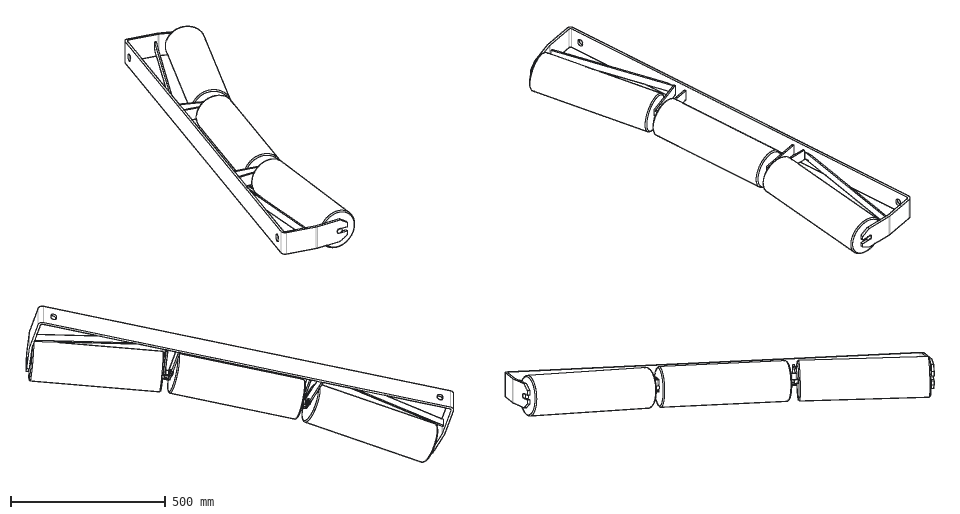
import cadquery as cq
import math

frame_length = 1400.0
bar_width = 80.0
bar_thickness = 8.0
corner_radius = 14.0
arm_bend_height = 119.0
arm_bend_radius = 25.0
arm_tip_height = 235.0
tip_taper_length = 28.0
tip_taper_depth = 18.0
bolt_slot_x = 651.0
bolt_slot_z = -1.0
bolt_slot_width = 18.0
bolt_slot_length = 25.0

roller_diameter = 133.0
roller_length = 430.0
roller_chamfer = 4.0
wing_angle = 10.0
wing_tip_angle = 1.0
centre_roller_y = 126.0
centre_roller_z = -8.0
wing_roller_x = 460.0
wing_roller_y = 167.0
wing_roller_z = -4.9

shaft_diameter = 20.0
shaft_flat_width = 15.0
shaft_end_length = 11.0

bracket_thickness = 5.0
bracket_top = 150.0
bracket_width = 40.0
bracket_inner_x = 218.0
bracket_bridge_length = 24.0
bracket_corner_radius = 5.0

strut_thickness = 5.0
strut_width = 30.0
strut_foot_x = 269.0
strut_top_y = 110.0

SIDES = (-1, 1)
lean = math.tan(math.radians(wing_angle))
inner_face_x = frame_length / 2 - bar_thickness


def plate(points, width):
    """Extrude an XY outline to a width centred on Z = 0."""
    return cq.Workplane("XY", origin=(0, 0, -width / 2)).polyline(points).close().extrude(width)


def cylinder(diameter, length):
    """Cylinder on the X axis, centred on X = 0."""
    return cq.Workplane("YZ", origin=(-length / 2, 0, 0)).circle(diameter / 2).extrude(length)


def mirrored(body, side):
    """Return a body modelled on the +X side, mirrored to -X when side is -1."""
    return body if side > 0 else body.mirror("YZ")


def on_centre_axis(body):
    return body.translate((0, centre_roller_y, centre_roller_z))


def on_wing_axis(body):
    """Move a body from the X axis to the axis of the +X wing roller."""
    tipped = body.rotate((0, 0, 0), (0, 1, 0), -wing_tip_angle)
    raised = tipped.rotate((0, 0, 0), (0, 0, 1), wing_angle)
    return raised.translate((wing_roller_x, wing_roller_y, wing_roller_z))


def shaft(length):
    """Round shaft along X with two flats facing +Z and -Z."""
    round_bar = cylinder(shaft_diameter, length)
    flats = cq.Workplane("XY").box(length, shaft_diameter, shaft_flat_width)
    return round_bar.intersect(flats)


def shaft_slot():
    """Cutter along X for the shaft seats, open toward +Y."""
    length = roller_length + 4 * shaft_end_length
    opening = cq.Workplane("XY").box(
        length, roller_diameter, shaft_flat_width, centered=(True, False, True)
    )
    return shaft(length).union(opening)


def make_roller():
    drum = cylinder(roller_diameter, roller_length)
    drum = drum.edges("%CIRCLE").chamfer(roller_chamfer)
    return drum.union(shaft(roller_length + 2 * shaft_end_length))


def frame_half_outline():
    """Outline of the +X half of the bent bar, from the outer to the inner face."""
    angle = math.radians(wing_angle)
    half = frame_length / 2
    tip_x = half - (arm_tip_height - arm_bend_height) * lean
    inner_bend_y = arm_bend_height - bar_thickness * math.tan(angle / 2)
    return [
        (0, 0),
        (half, 0),
        (half, arm_bend_height),
        (tip_x, arm_tip_height),
        (tip_x - bar_thickness * math.cos(angle), arm_tip_height - bar_thickness * math.sin(angle)),
        (inner_face_x, inner_bend_y),
        (inner_face_x, bar_thickness),
        (0, bar_thickness),
    ]


def round_bend(body, corner, radius):
    """Round the upright edge that passes through an XY corner."""
    return body.edges(cq.NearestToPointSelector((*corner, 0))).fillet(radius)


def make_frame():
    outline = frame_half_outline()
    _, base_outer, arm_outer, _, _, arm_inner, base_inner, _ = outline
    half = plate(outline, bar_width)
    half = round_bend(half, base_outer, corner_radius)
    half = round_bend(half, base_inner, corner_radius - bar_thickness)
    half = round_bend(half, arm_outer, arm_bend_radius)
    half = round_bend(half, arm_inner, arm_bend_radius - bar_thickness)
    half_width = bar_width / 2
    taper_start = arm_tip_height - tip_taper_length
    side_profile = [
        (0, -half_width),
        (taper_start, -half_width),
        (arm_tip_height, tip_taper_depth - half_width),
        (arm_tip_height, half_width - tip_taper_depth),
        (taper_start, half_width),
        (0, half_width),
    ]
    half = half.intersect(cq.Workplane("YZ").polyline(side_profile).close().extrude(frame_length))
    half = half.cut(on_wing_axis(shaft_slot()))
    bolt_slot = (
        cq.Workplane("XZ")
        .center(bolt_slot_x, bolt_slot_z)
        .slot2D(bolt_slot_length, bolt_slot_width, 90)
        .extrude(-bar_thickness)
    )
    half = half.cut(bolt_slot)
    return half.union(mirrored(half, -1))


def make_bracket():
    """Bracket on the +X side, standing on the base of the frame."""
    leg_height = bracket_top - bar_thickness
    bridge_end_x = bracket_inner_x + bracket_bridge_length
    lean_thickness = bracket_thickness / math.cos(math.radians(wing_angle))
    bridge_y = bracket_top - bracket_thickness
    outline = [
        (bracket_inner_x, bar_thickness),
        (bracket_inner_x, bracket_top),
        (bridge_end_x, bracket_top),
        (bridge_end_x + leg_height * lean, bar_thickness),
        (bridge_end_x + leg_height * lean - lean_thickness, bar_thickness),
        (bridge_end_x + bracket_thickness * lean - lean_thickness, bridge_y),
        (bracket_inner_x + bracket_thickness, bridge_y),
        (bracket_inner_x + bracket_thickness, bar_thickness),
    ]
    bracket = plate(outline, bracket_width)
    bracket = bracket.edges("|Z and >Y").fillet(bracket_corner_radius)
    return bracket.cut(on_wing_axis(shaft_slot())).cut(on_centre_axis(shaft_slot()))


def make_strut():
    """Strut on the +X side, cut flush against the base and the arm."""
    run = inner_face_x - strut_foot_x
    rise = strut_top_y - bar_thickness
    slope_length = math.hypot(run, rise)
    outline = [
        (strut_foot_x, bar_thickness),
        (inner_face_x, strut_top_y),
        (inner_face_x, strut_top_y - strut_thickness * slope_length / run),
        (strut_foot_x + strut_thickness * slope_length / rise, bar_thickness),
    ]
    return plate(outline, strut_width)


frame = make_frame()
roller = make_roller()
centre_roller = on_centre_axis(roller)
wing_rollers = [mirrored(on_wing_axis(roller), side) for side in SIDES]
brackets = [mirrored(make_bracket(), side) for side in SIDES]
struts = [mirrored(make_strut(), side) for side in SIDES]

bodies = [frame, centre_roller, *wing_rollers, *brackets, *struts]
result = cq.Compound.makeCompound([body.solids().val() for body in bodies])